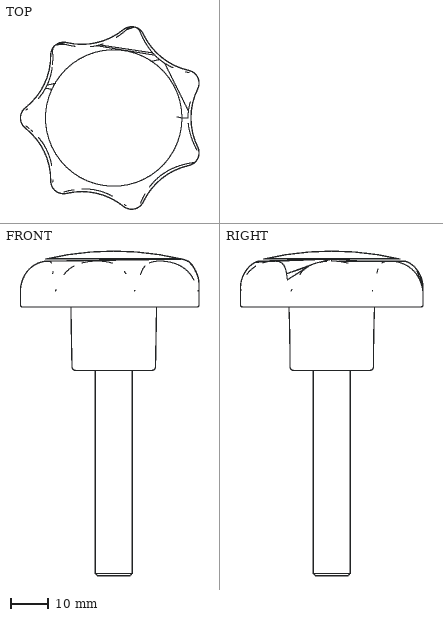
import cadquery as cq
import math


lobe_count = 7
lobe_pitch = 360 / lobe_count
first_lobe_angle = 180
head_radius = 25.0
head_height = 15.0
dome_radius = 79.0
shoulder_radius = 8.75
lobe_tip_radius = 3.5
valley_radius = 20.7
rim_fillet = 1.4
base_fillet = 0.5

collar_height = 17.0
collar_top_radius = 11.5
collar_bottom_radius = 11.2
collar_fillet = 1.0

stud_radius = 5.0
stud_length = 55.0
stud_chamfer = 0.7

head_base_z = collar_height
head_top_z = head_base_z + head_height


def polar(radius, degrees):
    """Point in the XY plane at a distance from the axis and an angle."""
    angle = math.radians(degrees)
    return (radius * math.cos(angle), radius * math.sin(angle))


def star_prism():
    """Star outline: round lobe tips joined by tangent concave scallops, drawn up to the crown."""
    lobe_center_radius = head_radius - lobe_tip_radius
    half_pitch = lobe_pitch / 2

    lobe_x, lobe_y = polar(lobe_center_radius, half_pitch)
    reach = valley_radius - lobe_tip_radius
    scallop_center_radius = (lobe_center_radius**2 - reach**2) / (2 * (lobe_x - reach))
    tangent_direction = math.atan2(lobe_y, lobe_x - scallop_center_radius)
    scallop_radius = scallop_center_radius - valley_radius
    tangent_x = scallop_center_radius + scallop_radius * math.cos(tangent_direction)
    tangent_y = scallop_radius * math.sin(tangent_direction)
    tangent_radius = math.hypot(tangent_x, tangent_y)
    tangent_angle = math.degrees(math.atan2(tangent_y, tangent_x))
    lobe_half_angle = half_pitch - tangent_angle

    outline = cq.Workplane("XY", origin=(0, 0, head_base_z))
    outline = outline.moveTo(*polar(tangent_radius, first_lobe_angle - lobe_half_angle))
    for lobe in range(lobe_count):
        tip_angle = first_lobe_angle + lobe * lobe_pitch
        valley_angle = tip_angle + half_pitch
        outline = outline.threePointArc(
            polar(head_radius, tip_angle),
            polar(tangent_radius, tip_angle + lobe_half_angle),
        )
        outline = outline.threePointArc(
            polar(valley_radius, valley_angle),
            polar(tangent_radius, valley_angle + tangent_angle),
        )
    return outline.close().extrude(head_height)


def crown_blank():
    """Turned blank: spherical crown, tangent shoulder, cylindrical rim."""
    dome_center_z = head_top_z - dome_radius
    shoulder_center_x = head_radius - shoulder_radius
    join_angle = math.asin(shoulder_center_x / (dome_radius - shoulder_radius))
    join_x = dome_radius * math.sin(join_angle)
    join_z = dome_center_z + dome_radius * math.cos(join_angle)
    shoulder_center_z = dome_center_z + (dome_radius - shoulder_radius) * math.cos(join_angle)
    dome_middle = (
        dome_radius * math.sin(join_angle / 2),
        dome_center_z + dome_radius * math.cos(join_angle / 2),
    )
    shoulder_middle_angle = (join_angle + math.pi / 2) / 2
    shoulder_middle = (
        shoulder_center_x + shoulder_radius * math.sin(shoulder_middle_angle),
        shoulder_center_z + shoulder_radius * math.cos(shoulder_middle_angle),
    )
    return (
        cq.Workplane("XZ")
        .moveTo(0, head_base_z)
        .lineTo(0, head_top_z)
        .threePointArc(dome_middle, (join_x, join_z))
        .threePointArc(shoulder_middle, (head_radius, shoulder_center_z))
        .lineTo(head_radius, head_base_z)
        .close()
        .revolve(360, (0, 0), (0, 1))
    )


def on_scallop_rim(edge):
    """True for the curved edges where the scalloped side meets the crown."""
    return edge.geomType() == "BSPLINE"


def knob_head():
    """Scalloped head with its upper scallop edges and its underside edge rounded."""
    head = star_prism().intersect(crown_blank())
    rim_edges = [edge for edge in head.edges().vals() if on_scallop_rim(edge)]
    rounded_head = head.newObject(rim_edges).fillet(rim_fillet)
    return rounded_head.faces("<Z").edges().fillet(base_fillet)


def collar():
    """Slightly tapered collar below the head, rounded at its lower edge."""
    profile = [
        (0, 0),
        (collar_bottom_radius, 0),
        (collar_top_radius, collar_height),
        (0, collar_height),
    ]
    cone = cq.Workplane("XZ").polyline(profile).close().revolve(360, (0, 0), (0, 1))
    return cone.faces("<Z").edges().fillet(collar_fillet)


def make_knob():
    return knob_head().union(collar())


def make_stud():
    """Plain round stud hanging below the collar, chamfered at its free end."""
    shank = cq.Workplane("XY").circle(stud_radius).extrude(-stud_length)
    return shank.faces("<Z").chamfer(stud_chamfer)


knob = make_knob()
stud = make_stud()

result = cq.Compound.makeCompound([*knob.solids().vals(), *stud.solids().vals()])